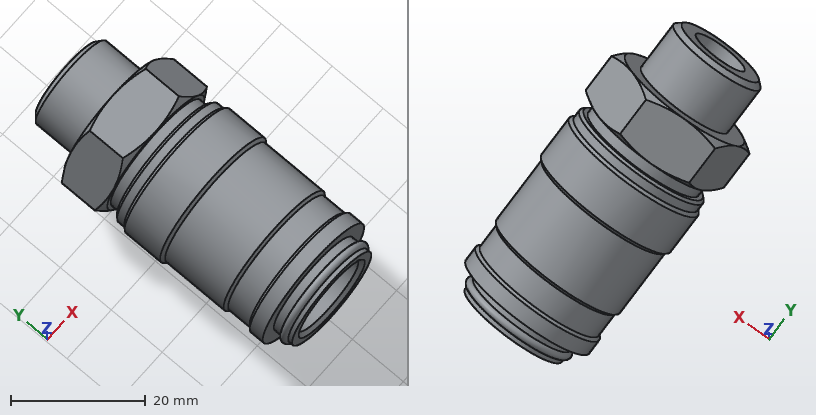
import cadquery as cq
import math

total_length = 52.0

spigot_radius = 9.0
ring_section_radius = 0.7
ring_center_radius = spigot_radius
neck_radius = 10.25
stem_radius = 8.05
groove_radius = 11.0
sleeve_radius = 11.5
band_radius = 12.0
sleeve_step = sleeve_radius - groove_radius
band_step = band_radius - sleeve_radius

ring_position = 1.45
flange_front = 3.6
flange_back = 6.15
sleeve_front = 10.8
band_front = 22.8
band_back = 30.8
sleeve_back = 32.65
hex_front = 34.55
hex_back = 43.0

stem_chamfer_length = 0.85
stem_chamfer_depth = 0.95

hex_across_flats = 22.0
hex_flat_radius = hex_across_flats / 2
hex_corner_radius = hex_flat_radius / math.cos(math.radians(30))
hex_chamfer_angle = 30.0

mouth_radius = 7.5
bore_radius = 6.8
mouth_depth = 0.7
bore_depth = 26.0
through_radius = 4.5


def revolve_profile(sketch):
    """Turn a closed (radius, Y) profile around the Y axis."""
    return sketch.close().revolve(360, (0, 0, 0), (0, 1, 0))


def make_body():
    """Turned outside of the coupling, from the spigot to the stem."""
    return revolve_profile(
        cq.Workplane("XY")
        .lineTo(spigot_radius, 0)
        .lineTo(spigot_radius, flange_front)
        .lineTo(sleeve_radius, flange_front)
        .lineTo(sleeve_radius, flange_back)
        .lineTo(groove_radius, flange_back + sleeve_step)
        .lineTo(groove_radius, sleeve_front)
        .lineTo(sleeve_radius, sleeve_front + sleeve_step)
        .lineTo(sleeve_radius, band_front)
        .lineTo(band_radius, band_front + band_step)
        .lineTo(band_radius, band_back - band_step)
        .lineTo(sleeve_radius, band_back)
        .lineTo(sleeve_radius, sleeve_back - sleeve_step)
        .lineTo(groove_radius, sleeve_back)
        .lineTo(neck_radius, sleeve_back)
        .lineTo(neck_radius, hex_front)
        .lineTo(stem_radius, hex_front)
        .lineTo(stem_radius, total_length - stem_chamfer_length)
        .lineTo(stem_radius - stem_chamfer_depth, total_length)
        .lineTo(0, total_length)
    )


def make_seal_ring():
    """Round bead around the spigot."""
    return (
        cq.Workplane("XY")
        .center(ring_center_radius, ring_position)
        .circle(ring_section_radius)
        .revolve(360, (-ring_center_radius, 0, 0), (-ring_center_radius, 1, 0))
    )


def make_hex():
    """Hexagon with corners on the X axis and both ends chamfered conically."""
    prism = (
        cq.Workplane("XZ", origin=(0, hex_front, 0))
        .polygon(6, 2 * hex_corner_radius)
        .extrude(hex_front - hex_back)
    )
    corner_drop = (hex_corner_radius - hex_flat_radius) * math.tan(math.radians(hex_chamfer_angle))
    envelope = revolve_profile(
        cq.Workplane("XY")
        .moveTo(0, hex_front)
        .lineTo(hex_flat_radius, hex_front)
        .lineTo(hex_corner_radius, hex_front + corner_drop)
        .lineTo(hex_corner_radius, hex_back - corner_drop)
        .lineTo(hex_flat_radius, hex_back)
        .lineTo(0, hex_back)
    )
    return prism.intersect(envelope)


def make_bore():
    """Stepped passage with a conical mouth at the front."""
    return revolve_profile(
        cq.Workplane("XY")
        .lineTo(mouth_radius, 0)
        .lineTo(bore_radius, mouth_depth)
        .lineTo(bore_radius, bore_depth)
        .lineTo(through_radius, bore_depth)
        .lineTo(through_radius, total_length)
        .lineTo(0, total_length)
    )


coupling = make_body().union(make_seal_ring()).union(make_hex()).cut(make_bore())
result = coupling.translate((0, -total_length / 2, 0))